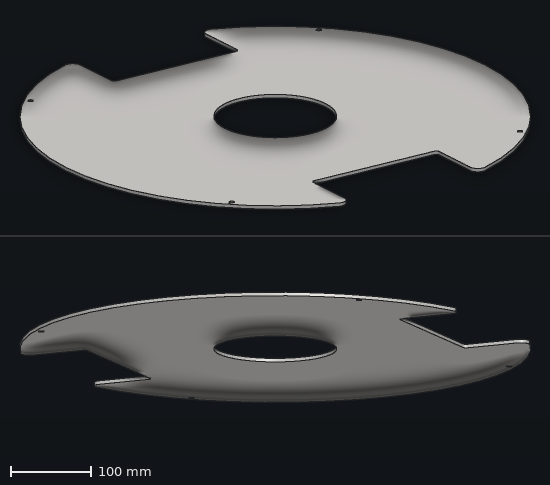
import cadquery as cq

disc_diameter = 638.5
thickness = 4.8
bore_diameter = 153.0

notch_width = 191.5
notch_floor_distance = 216.5
notch_tip_radius = 11.5
notch_root_radius = 4.5

rim_hole_diameter = 6.5
rim_hole_spacing = 439.5


def notch_cutter(side):
    """Block that removes one notch; side is -1 for -X and +1 for +X."""
    length = disc_diameter / 2
    centre_x = side * (notch_floor_distance + length / 2)
    floor_corners = "|Z and <X" if side > 0 else "|Z and >X"
    return (
        cq.Workplane("XY")
        .center(centre_x, 0)
        .rect(length, notch_width)
        .extrude(thickness)
        .edges(floor_corners)
        .fillet(notch_root_radius)
    )


plate = cq.Workplane("XY").circle(disc_diameter / 2).extrude(thickness)
for notch_side in (-1, 1):
    plate = plate.cut(notch_cutter(notch_side))

plate = plate.edges("|Z and (<X or >X)").fillet(notch_tip_radius)

bore = cq.Workplane("XY").circle(bore_diameter / 2).extrude(thickness)
rim_holes = (
    cq.Workplane("XY")
    .rect(rim_hole_spacing, rim_hole_spacing, forConstruction=True)
    .vertices()
    .circle(rim_hole_diameter / 2)
    .extrude(thickness)
)
result = plate.cut(bore).cut(rim_holes)